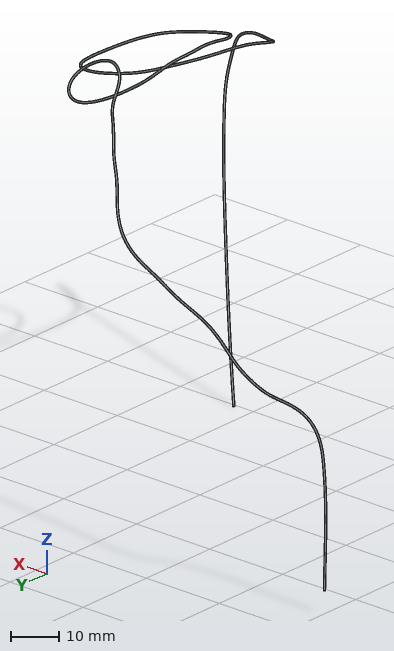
import cadquery as cq


wire_diameter = 0.5

lead_rise = [
    (0.2, 99.2, 5.0),
    (0.8, 98.3, 13.8),
    (1.8, 97.1, 22.8),
    (3.4, 95.9, 31.2),
    (5.0, 95.3, 36.3),
    (7.5, 95.3, 39.8),
]

lead_run = [
    (12.2, 96.1, 42.4),
    (16.4, 98.0, 44.2),
    (21.0, 98.7, 46.5),
    (25.8, 97.9, 48.7),
    (31.2, 96.5, 51.8),
    (37.2, 95.2, 54.3),
    (45.0, 94.1, 56.7),
    (51.8, 92.9, 59.1),
    (58.5, 91.3, 61.0),
    (63.9, 89.2, 63.3),
    (69.1, 85.1, 66.3),
    (74.5, 79.1, 69.1),
    (80.8, 72.9, 71.5),
    (87.5, 65.3, 73.5),
    (94.2, 57.5, 74.9),
]

eyelet = [
    (98.1, 51.0, 76.8),
    (102.3, 47.6, 77.8),
    (107.1, 46.1, 76.8),
    (110.7, 47.5, 74.8),
    (111.6, 50.5, 72.9),
    (109.5, 53.8, 71.2),
    (105.3, 55.2, 71.0),
    (100.5, 53.0, 72.3),
    (97.0, 49.4, 74.3),
    (94.5, 46.3, 76.2),
]

large_turn = [
    (92.6, 41.1, 78.7),
    (91.4, 36.4, 79.8),
    (91.1, 31.8, 80.3),
    (91.5, 25.6, 79.3),
    (94.0, 20.9, 77.8),
    (98.1, 17.1, 76.0),
    (103.0, 16.3, 74.7),
    (108.3, 16.7, 73.3),
    (114.1, 18.9, 72.1),
    (117.8, 23.8, 71.2),
    (119.4, 30.0, 70.7),
    (119.2, 37.2, 70.8),
    (117.0, 41.7, 71.5),
    (111.9, 44.8, 72.7),
    (105.3, 45.3, 74.2),
    (98.4, 43.3, 75.9),
    (93.6, 38.8, 77.3),
]

arch = [
    (90.4, 33.4, 78.1),
    (89.2, 27.5, 78.1),
    (88.8, 21.5, 77.5),
    (89.6, 14.9, 75.6),
    (92.0, 9.7, 73.5),
    (96.4, 5.3, 71.1),
    (102.1, 2.0, 69.5),
    (106.7, 0.5, 68.3),
    (109.5, 0.4, 66.5),
    (110.3, 1.3, 63.4),
]

leg = [
    (109.7, 4.0, 58.1),
    (107.6, 7.1, 52.1),
    (103.5, 11.9, 41.5),
    (98.3, 17.4, 29.5),
    (92.0, 23.6, 16.0),
    (84.5, 30.7, 0.1),
]

waypoints = lead_rise + lead_run + eyelet + large_turn + arch + leg
centreline = cq.Edge.makeSpline([cq.Vector(*point) for point in waypoints])

stretch_count = 6
first_parameter, last_parameter = centreline.bounds()
stretch_span = (last_parameter - first_parameter) / stretch_count


def stretch(index):
    """One piece of the centreline, counted from the lead-in end."""
    start = first_parameter + index * stretch_span
    return centreline.trim(start, start + stretch_span)


path = cq.Wire.assembleEdges([stretch(index) for index in range(stretch_count)])
wire_end = cq.Plane(origin=centreline.startPoint(), normal=centreline.tangentAt(0))
result = cq.Workplane(wire_end).circle(wire_diameter / 2).sweep(cq.Workplane(obj=path))